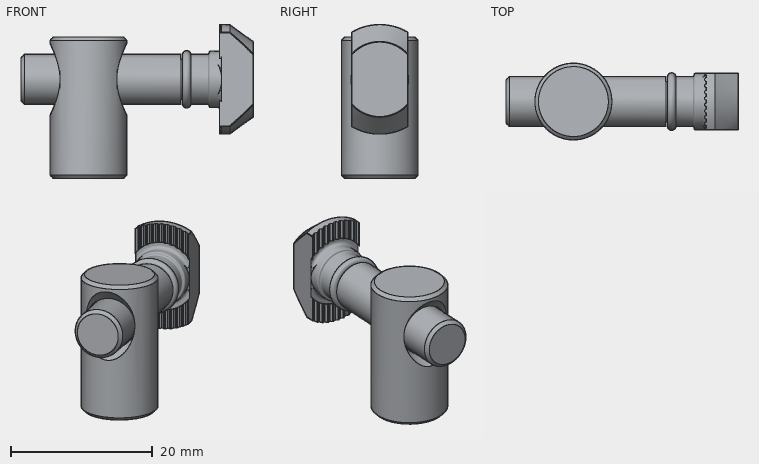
import cadquery as cq
import math


BARREL_DIAMETER = 10.85
BARREL_LENGTH = 20.0
BARREL_X = 9.5
BARREL_TOP = 6.0
BARREL_CHAMFER = 0.5
CROSS_HOLE_DIAMETER = 7.3

SHANK_DIAMETER = 7.1
SHANK_CHAMFER = 0.5
GROOVE_START = 22.55
GROOVE_END = 23.98
GROOVE_DIAMETER = 5.7
COLLAR_DIAMETER = 8.0
COLLAR_BLEND_START = 26.3

RING_SECTION = 1.2

BOLT_LENGTH = 32.8
HEAD_START = 27.98
HEAD_DIAMETER = 15.48
HEAD_WIDTH = 8.0
HEAD_TAPER_START = 29.45
HEAD_END_DIAMETER = 10.63
HEAD_EDGE_CHAMFER = 0.05
RELIEF_DIAMETER = 9.97
COLLAR_FILLET = 0.5

SERRATION_DEPTH = 0.33
SERRATION_COUNT = 9
SERRATION_PITCH = HEAD_WIDTH / SERRATION_COUNT
SERRATION_RADIUS = (SERRATION_PITCH / 2 - SERRATION_DEPTH) / (2 * math.sqrt(2) - 2)

RELIEF_FLOOR = HEAD_START + SERRATION_DEPTH


def revolve_about_x(profile):
    """Turn a closed X-radius profile, drawn in the XY plane, about the X axis."""
    return profile.close().revolve(360, (0, 0, 0), (1, 0, 0))


def make_barrel():
    radius = BARREL_DIAMETER / 2
    hole_radius = CROSS_HOLE_DIAMETER / 2
    barrel = (
        cq.Workplane("XY", origin=(BARREL_X, 0, BARREL_TOP - BARREL_LENGTH))
        .circle(radius)
        .extrude(BARREL_LENGTH)
        .edges()
        .chamfer(BARREL_CHAMFER)
    )
    mouth_start = math.sqrt(radius**2 - hole_radius**2)
    mouth_depth = radius - mouth_start
    mouth_radius = hole_radius + mouth_depth
    cross_hole = revolve_about_x(
        cq.Workplane("XY")
        .moveTo(-radius, 0)
        .lineTo(-radius, mouth_radius)
        .lineTo(-mouth_start, hole_radius)
        .lineTo(mouth_start, hole_radius)
        .lineTo(radius, mouth_radius)
        .lineTo(radius, 0)
    )
    return barrel.cut(cross_hole.translate((BARREL_X, 0, 0)))


def make_shank():
    """Turned part of the bolt, from the plain end to the relief floor in the head."""
    shank_radius = SHANK_DIAMETER / 2
    groove_radius = GROOVE_DIAMETER / 2
    collar_radius = COLLAR_DIAMETER / 2
    blend = (collar_radius - shank_radius) / 2
    blend_middle = COLLAR_BLEND_START + blend
    blend_end = blend_middle + blend
    return revolve_about_x(
        cq.Workplane("XY")
        .moveTo(0, 0)
        .lineTo(0, shank_radius - SHANK_CHAMFER)
        .lineTo(SHANK_CHAMFER, shank_radius)
        .lineTo(GROOVE_START, shank_radius)
        .lineTo(GROOVE_START, groove_radius)
        .lineTo(GROOVE_END, groove_radius)
        .lineTo(GROOVE_END, shank_radius)
        .lineTo(COLLAR_BLEND_START, shank_radius)
        .tangentArcPoint((blend_middle, shank_radius + blend), relative=False)
        .radiusArc((blend_end, collar_radius), blend)
        .lineTo(RELIEF_FLOOR, collar_radius)
        .lineTo(RELIEF_FLOOR, 0)
    )


def make_collar_fillet():
    """Hollow fillet between collar and relief floor, running out at the head sides."""
    collar_radius = COLLAR_DIAMETER / 2
    outer_radius = collar_radius + COLLAR_FILLET
    fillet_start = RELIEF_FLOOR - COLLAR_FILLET
    ring = revolve_about_x(
        cq.Workplane("XY")
        .moveTo(fillet_start, collar_radius)
        .radiusArc((RELIEF_FLOOR, outer_radius), -COLLAR_FILLET)
        .lineTo(RELIEF_FLOOR, collar_radius)
    )
    side = HEAD_WIDTH / 2
    full_fillet_height = math.sqrt(outer_radius**2 - side**2)
    bevel_start = math.sqrt(collar_radius**2 - full_fillet_height**2)
    bevelled_block = (
        cq.Workplane("XY")
        .moveTo(fillet_start, -bevel_start)
        .lineTo(RELIEF_FLOOR, -side)
        .lineTo(RELIEF_FLOOR, side)
        .lineTo(fillet_start, bevel_start)
        .close()
        .extrude(outer_radius, both=True)
    )
    return ring.intersect(bevelled_block)


def make_serration_cutter(y):
    """Rounded V groove along Z, one pitch wide, cut into the clamping face around the given Y."""
    half_pitch = SERRATION_PITCH / 2
    arc_width = SERRATION_RADIUS * math.sin(math.pi / 4)
    arc_depth = SERRATION_RADIUS * (1 - math.cos(math.pi / 4))
    crest_end = HEAD_START + arc_depth
    root_start = RELIEF_FLOOR - arc_depth
    outside = HEAD_START - SERRATION_DEPTH
    return (
        cq.Workplane("XY")
        .moveTo(outside, y - half_pitch)
        .lineTo(HEAD_START, y - half_pitch)
        .radiusArc((crest_end, y - half_pitch + arc_width), -SERRATION_RADIUS)
        .lineTo(root_start, y - arc_width)
        .radiusArc((root_start, y + arc_width), SERRATION_RADIUS)
        .lineTo(crest_end, y + half_pitch - arc_width)
        .radiusArc((HEAD_START, y + half_pitch), -SERRATION_RADIUS)
        .lineTo(outside, y + half_pitch)
        .close()
        .extrude(HEAD_DIAMETER / 2, both=True)
    )


def make_head():
    head_radius = HEAD_DIAMETER / 2
    head = revolve_about_x(
        cq.Workplane("XY")
        .moveTo(HEAD_START, 0)
        .lineTo(HEAD_START, head_radius)
        .lineTo(HEAD_TAPER_START, head_radius)
        .lineTo(BOLT_LENGTH, HEAD_END_DIAMETER / 2)
        .lineTo(BOLT_LENGTH, 0)
    )
    head = head.intersect(cq.Workplane("XY").box(2 * BOLT_LENGTH, HEAD_WIDTH, HEAD_DIAMETER))
    head = head.faces(">X or |Y").edges("not <X").chamfer(HEAD_EDGE_CHAMFER)
    relief = (
        cq.Workplane("YZ", origin=(HEAD_START, 0, 0))
        .circle(RELIEF_DIAMETER / 2)
        .extrude(SERRATION_DEPTH)
    )
    head = head.cut(relief)
    for index in range(SERRATION_COUNT):
        y = (index - (SERRATION_COUNT - 1) / 2) * SERRATION_PITCH
        head = head.cut(make_serration_cutter(y))
    return head


def make_bolt():
    return make_head().union(make_shank()).union(make_collar_fillet())


def make_sealing_ring():
    section_radius = RING_SECTION / 2
    centre_radius = GROOVE_DIAMETER / 2 + section_radius
    ring = cq.Solid.makeTorus(
        centre_radius,
        section_radius,
        cq.Vector(GROOVE_END - section_radius, 0, 0),
        cq.Vector(1, 0, 0),
    )
    return cq.Workplane(ring)


barrel = make_barrel()
bolt = make_bolt()
sealing_ring = make_sealing_ring()

result = cq.Compound.makeCompound([barrel.solids().val(), bolt.solids().val(), sealing_ring.val()])